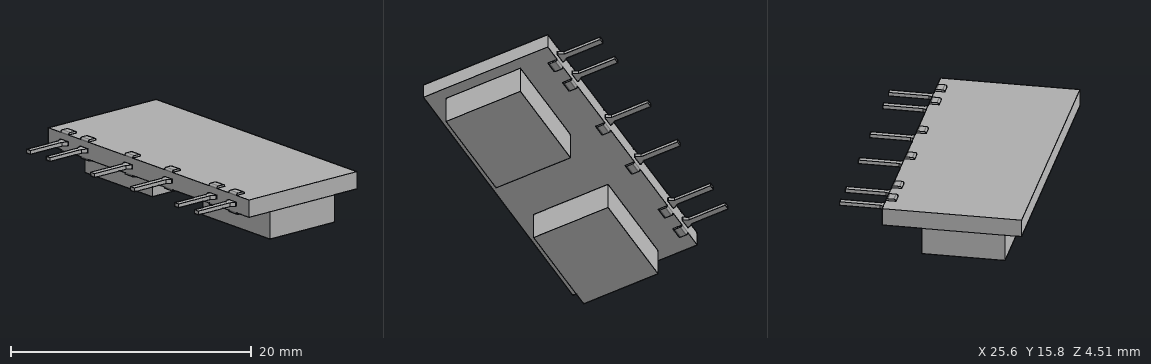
import cadquery as cq

board_width = 25.65
board_depth = 11.8
board_thickness = 1.51

block_width = 8.6
block_depth = 7.05
block_height = 2.82
block_centre_offset = 7.52
block_rear_margin = 1.6

contact_offsets = (2.55, 8.2, 10.72)
contact_width = 1.0

clip_length = 0.87
clip_height = 0.18

pin_length = 3.95
pin_width = 0.51
pin_thickness = 0.33
pin_root_length = 0.08
pin_taper_length = 0.44

mid_height = board_thickness / 2


def make_board():
    return cq.Workplane("XY").box(
        board_width, board_depth, board_thickness, centered=(True, False, False)
    )


def make_block(x):
    front = board_depth - block_rear_margin - block_depth
    return (
        cq.Workplane("XY")
        .box(block_width, block_depth, block_height, centered=(True, False, False))
        .translate((x, front, -block_height))
    )


def make_clip(x):
    """Slab through the board whose four long edges are rounded down to the board faces."""
    return (
        cq.Workplane("XY")
        .box(contact_width, clip_length, board_thickness + 2 * clip_height, centered=(True, False, True))
        .edges("|X")
        .fillet(clip_height)
        .translate((x, 0, mid_height))
    )


def make_pin(x):
    """Flat pin with a short full-width root that tapers down to the pin width."""
    root = contact_width / 2
    half = pin_width / 2
    taper_end = -(pin_root_length + pin_taper_length)
    outline = [
        (-root, 0),
        (-root, -pin_root_length),
        (-half, taper_end),
        (-half, -pin_length),
        (half, -pin_length),
        (half, taper_end),
        (root, -pin_root_length),
        (root, 0),
    ]
    return (
        cq.Workplane("XY")
        .polyline(outline)
        .close()
        .extrude(pin_thickness / 2, both=True)
        .translate((x, 0, mid_height))
    )


result = make_board()
for side in (-1, 1):
    result = result.union(make_block(side * block_centre_offset))
    for offset in contact_offsets:
        result = result.union(make_clip(side * offset))
        result = result.union(make_pin(side * offset))